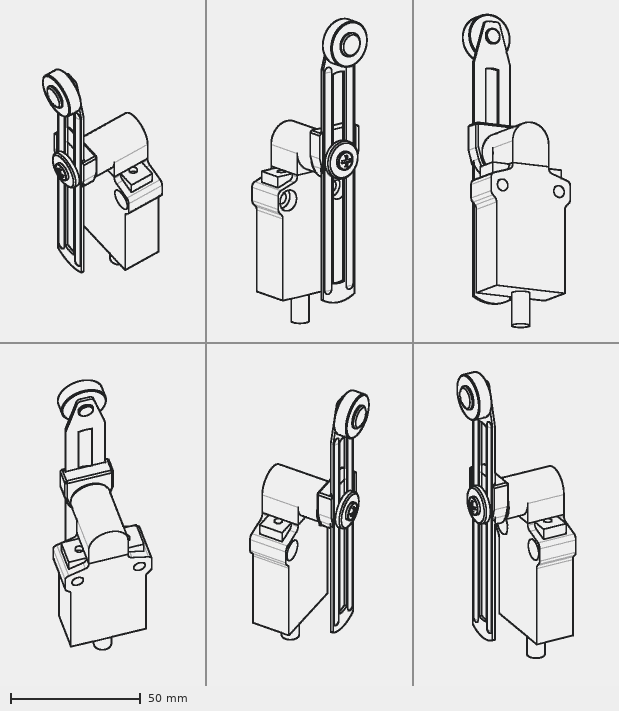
import cadquery as cq
import math


total_height = 127.2
total_depth = 39.2

roller_diameter = 18.1
roller_height = 47.5
roller_width = 5.7
roller_chamfer = 0.4
spacer_diameter = 7.3
spacer_length = 0.8
pin_head_diameter = 9.4
pin_head_chamfer = 0.6
pin_tail_diameter = 6.0
pin_tail_length = 0.9
pin_tail_chamfer = 0.3

body_depth = 15.9
body_half_width = 15.1
ear_width = 35.0
ear_half_width = ear_width / 2
neck_width = 15.9
neck_half_width = neck_width / 2
body_top = -8.8
body_bottom = -57.9
shoulder_top = -11.0
shoulder_bottom = -13.9
ear_bottom = -21.6
shoulder_fillet = 2.0
ear_fillet = 2.3
block_depth = 9.9
block_hole_diameter = 3.0
block_hole_depth = 2.5
block_hole_offset = 9.4
mount_hole_diameter = 4.6
mount_bore_diameter = 8.3
mount_bore_depth = 4.1
mount_offset = 12.5
mount_height = -18.1
cable_diameter = 7.0
body_mid_y = -body_depth / 2
cable_end = roller_height + roller_diameter / 2 - total_height

barrel_radius = neck_half_width
barrel_length = 25.0
barrel_chamfer_length = 0.9
barrel_chamfer_radius = 0.5

hub_half_width = 9.8
hub_top = 11.8
hub_radius = 8.9
hub_side_end = 1.9
hub_depth = 6.6
hub_chamfer = 0.8
groove_half_width = 8.1
groove_depth = 1.4
hub_front = -(barrel_length + hub_depth)
groove_floor = hub_front + groove_depth

arm_thickness = 1.1
arm_half_width = 7.9
arm_side_top = 36.8
arm_tip = 53.3
arm_tip_half_width = 3.0
arm_tip_fillet = 1.7
arm_side_bottom = -55.6
arm_bottom = -57.8
slot_half_width = 2.8
slot_top = 34.9
slot_bottom = -50.1
slot_end_sag = 0.4
rib_offset = 5.3
rib_width = 3.4
rib_rise = 0.8
rib_top = 36.0
rib_bottom = -51.8
arm_front = groove_floor - arm_thickness
rib_crest = arm_front - rib_rise

washer_diameter = 15.0
washer_thickness = 2.3
washer_chamfer = 0.6
screw_shank_diameter = 5.5
screw_head_diameter = 7.3
screw_rim_height = 1.0
screw_crown_diameter = 6.6
screw_crown_rise = 0.9
cross_length = 4.3
cross_width = 1.0
cross_depth = 0.9
washer_front = rib_crest - washer_thickness
screw_rim_front = washer_front - screw_rim_height
screw_front = screw_rim_front - screw_crown_rise


def plane_at(y):
    """Sketch plane at depth y: local x is X, local y is Z, and it faces the front (-Y)."""
    return cq.Workplane(cq.Plane(origin=(0, y, 0), xDir=(1, 0, 0), normal=(0, -1, 0)))


def cylinder(x, z, diameter, y_back, length):
    """Round bar along Y that runs forward from y_back."""
    return plane_at(y_back).center(x, z).circle(diameter / 2).extrude(length)


def make_profile_body():
    """Housing outline with its neck, sloping shoulders and mounting ears."""
    ear_step = ear_half_width - body_half_width
    right_side = [
        (neck_half_width, body_top),
        (neck_half_width, shoulder_top),
        (ear_half_width, shoulder_bottom),
        (ear_half_width, ear_bottom),
        (body_half_width, ear_bottom - ear_step),
        (body_half_width, body_bottom),
    ]
    left_side = [(-x, z) for x, z in reversed(right_side)]
    body = plane_at(0).polyline(right_side + left_side).close().extrude(body_depth)

    def edges_at(x, z):
        """Selects the edge along Y through the outline's corner (x, z)."""
        reach = 0.1
        low = (x - reach, -body_depth - reach, z - reach)
        high = (x + reach, reach, z + reach)
        return cq.selectors.BoxSelector(low, high, boundingbox=True)

    for side in (-1, 1):
        for x, z in right_side[1:3]:
            body = body.edges(edges_at(side * x, z)).fillet(shoulder_fillet)
        for x, z in right_side[3:5]:
            body = body.edges(edges_at(side * x, z)).fillet(ear_fillet)
    return body


def make_housing():
    """Housing with terminal blocks, mounting holes and the cable stub."""
    body = make_profile_body()

    block_height = body_top - ear_bottom
    block = cq.Workplane("XY").box(2 * body_half_width, block_depth, block_height)
    body = body.union(block.translate((0, body_mid_y, body_top - block_height / 2)))

    for side in (-1, 1):
        block_hole = (
            cq.Workplane("XY", origin=(side * block_hole_offset, body_mid_y, body_top))
            .circle(block_hole_diameter / 2)
            .extrude(-block_hole_depth)
        )
        x = side * mount_offset
        through_hole = cylinder(x, mount_height, mount_hole_diameter, 0, body_depth)
        bore_floor = mount_bore_depth - body_depth
        bore = cylinder(x, mount_height, mount_bore_diameter, bore_floor, mount_bore_depth)
        body = body.cut(block_hole).cut(through_hole).cut(bore)

    cable = (
        cq.Workplane("XY", origin=(0, body_mid_y, cable_end))
        .circle(cable_diameter / 2)
        .extrude(body_bottom - cable_end)
    )
    return body.union(cable)


def make_head():
    """Barrel along Y, chamfered at its front, on a foot that stands on the housing's neck."""
    end_radius = barrel_radius - barrel_chamfer_radius
    barrel = (
        cq.Workplane("XY")
        .moveTo(0, 0)
        .lineTo(barrel_radius, 0)
        .lineTo(barrel_radius, barrel_chamfer_length - barrel_length)
        .lineTo(end_radius, -barrel_length)
        .lineTo(0, -barrel_length)
        .close()
        .revolve(360, (0, 0, 0), (0, 1, 0))
    )
    foot = plane_at(0).center(0, body_top / 2).rect(neck_width, -body_top).extrude(body_depth)
    return barrel.union(foot)


def make_hub():
    """Hub block, round below, with a front groove for the arm and the clamp screw."""
    corner_distance = math.hypot(hub_half_width, hub_side_end)
    tangent_angle = math.acos(hub_radius / corner_distance) - math.atan2(hub_side_end, hub_half_width)
    tangent_x = hub_radius * math.cos(tangent_angle)
    tangent_z = -hub_radius * math.sin(tangent_angle)
    hub = (
        plane_at(-barrel_length)
        .moveTo(tangent_x, tangent_z)
        .lineTo(hub_half_width, hub_side_end)
        .lineTo(hub_half_width, hub_top)
        .lineTo(-hub_half_width, hub_top)
        .lineTo(-hub_half_width, hub_side_end)
        .lineTo(-tangent_x, tangent_z)
        .threePointArc((0, -hub_radius), (tangent_x, tangent_z))
        .close()
        .extrude(hub_depth)
    )
    hub = hub.faces(">Z").edges("|Y").chamfer(hub_chamfer)
    hub = hub.faces(">Y").chamfer(hub_chamfer)
    groove = plane_at(groove_floor).rect(2 * groove_half_width, 2 * hub_top).extrude(groove_depth)
    return hub.cut(groove).union(make_screw())


def make_screw():
    """Shank, chamfered washer and domed head with a cross recess."""
    shank = cylinder(0, 0, screw_shank_diameter, groove_floor, groove_floor - rib_crest)
    washer = cylinder(0, 0, washer_diameter, rib_crest, washer_thickness)
    washer = washer.faces("<Y").chamfer(washer_chamfer)
    rim = cylinder(0, 0, screw_head_diameter, washer_front, screw_rim_height)

    crown_radius = screw_crown_diameter / 2
    dome_radius = (crown_radius ** 2 + screw_crown_rise ** 2) / (2 * screw_crown_rise)
    dome = cq.Workplane("XY").sphere(dome_radius).translate((0, screw_front + dome_radius, 0))
    crown = dome.intersect(cylinder(0, 0, screw_crown_diameter, screw_rim_front, screw_crown_rise))

    recess_floor = screw_front + cross_depth
    slot_across = plane_at(recess_floor).rect(cross_length, cross_width).extrude(cross_depth)
    slot_upright = plane_at(recess_floor).rect(cross_width, cross_length).extrude(cross_depth)
    screw = shank.union(washer).union(rim).union(crown)
    return screw.cut(slot_across.union(slot_upright))


def make_arm_plate():
    """Flat arm with a tapered, rounded top, a curved bottom and a long slot."""
    plate = (
        plane_at(groove_floor)
        .moveTo(arm_half_width, arm_side_bottom)
        .lineTo(arm_half_width, arm_side_top)
        .lineTo(arm_tip_half_width, arm_tip)
        .lineTo(-arm_tip_half_width, arm_tip)
        .lineTo(-arm_half_width, arm_side_top)
        .lineTo(-arm_half_width, arm_side_bottom)
        .threePointArc((0, arm_bottom), (arm_half_width, arm_side_bottom))
        .close()
        .extrude(arm_thickness)
    )
    plate = plate.faces(">Z").edges("|Y").fillet(arm_tip_fillet)
    slot = (
        plane_at(groove_floor)
        .moveTo(slot_half_width, slot_bottom + slot_end_sag)
        .lineTo(slot_half_width, slot_top - slot_end_sag)
        .threePointArc((0, slot_top), (-slot_half_width, slot_top - slot_end_sag))
        .lineTo(-slot_half_width, slot_bottom + slot_end_sag)
        .threePointArc((0, slot_bottom), (slot_half_width, slot_bottom + slot_end_sag))
        .close()
        .extrude(arm_thickness)
    )
    return plate.cut(slot)


def make_rib(x):
    """Low rounded rib along the arm, closed by a spherical cap at each end."""
    half_width = rib_width / 2
    rib_radius = (half_width ** 2 + rib_rise ** 2) / (2 * rib_rise)
    axis_y = rib_crest + rib_radius
    bar = (
        cq.Workplane("XY", origin=(x, axis_y, rib_bottom))
        .circle(rib_radius)
        .extrude(rib_top - rib_bottom)
    )
    for end_z in (rib_bottom, rib_top):
        bar = bar.union(cq.Workplane("XY").sphere(rib_radius).translate((x, axis_y, end_z)))
    above_plate = plane_at(arm_front).rect(4 * arm_half_width, 2 * total_height).extrude(rib_rise)
    return bar.intersect(above_plate)


def make_roller():
    """Roller with its spacer and the two pin heads, about the roller axis."""
    roller_back = arm_front - spacer_length
    roller_front = roller_back - roller_width
    tail = cylinder(0, roller_height, pin_tail_diameter, groove_floor + pin_tail_length, pin_tail_length)
    tail = tail.faces(">Y").chamfer(pin_tail_chamfer)
    spacer = cylinder(0, roller_height, spacer_diameter, arm_front, spacer_length)
    wheel = cylinder(0, roller_height, roller_diameter, roller_back, roller_width)
    wheel = wheel.edges().chamfer(roller_chamfer)
    head = cylinder(0, roller_height, pin_head_diameter, roller_front, roller_front + total_depth)
    head = head.faces("<Y").chamfer(pin_head_chamfer)
    return tail.union(spacer).union(wheel).union(head)


def make_lever_arm():
    """Slotted arm with its two ribs and the roller at its top end."""
    arm = make_arm_plate()
    for side in (-1, 1):
        arm = arm.union(make_rib(side * rib_offset))
    return arm.union(make_roller())


housing = make_housing()
head = make_head()
hub = make_hub()
lever_arm = make_lever_arm()

result = cq.Compound.makeCompound([housing.val(), head.val(), hub.val(), lever_arm.val()])